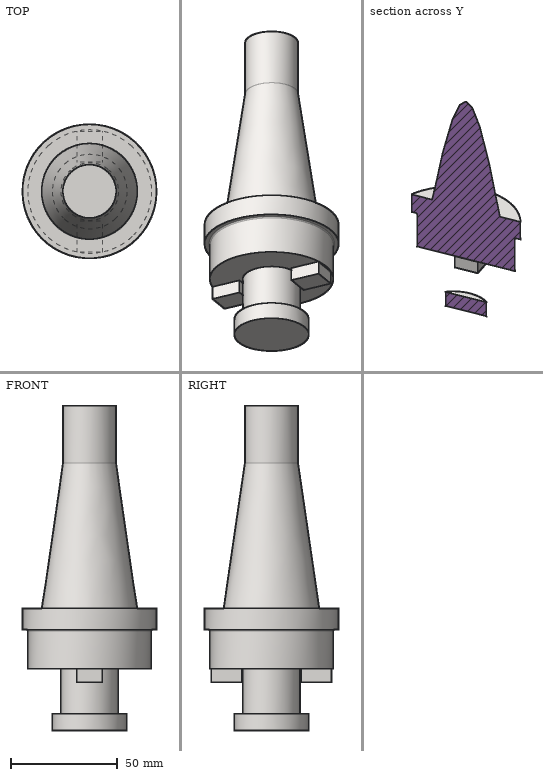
import cadquery as cq
import math

TAIL_DIAMETER = 25.0
TAPER_RATIO = 7 / 24
GAUGE_DIAMETER = 44.45
GAUGE_OFFSET = 1.6
SHANK_LENGTH = 95.0

FLANGE_DIAMETER = 63.0
FLANGE_THICKNESS = 10.0
COLLAR_DIAMETER = 58.0
COLLAR_LENGTH = 18.4
COLLAR_FILLET_RADIUS = 0.5

SPIGOT_DIAMETER = 27.0
SPIGOT_LENGTH = 21.0
SCREW_HEAD_DIAMETER = 35.0
SCREW_HEAD_THICKNESS = 8.0

KEY_WIDTH = 12.0
KEY_HEIGHT = 6.3
KEY_INNER_GAP = 27.7
KEY_OUTER_SPAN = 56.5

TAPER_BASE_DIAMETER = GAUGE_DIAMETER + TAPER_RATIO * GAUGE_OFFSET
TAPER_LENGTH = (TAPER_BASE_DIAMETER - TAIL_DIAMETER) / TAPER_RATIO

SPIGOT_BOTTOM = SCREW_HEAD_THICKNESS
COLLAR_BOTTOM = SPIGOT_BOTTOM + SPIGOT_LENGTH
FLANGE_BOTTOM = COLLAR_BOTTOM + COLLAR_LENGTH
FLANGE_TOP = FLANGE_BOTTOM + FLANGE_THICKNESS
TAIL_BOTTOM = FLANGE_TOP + TAPER_LENGTH
TAIL_TOP = FLANGE_TOP + SHANK_LENGTH


def make_body():
    """Revolve the half profile of the arbor about Z."""
    collar_radius = COLLAR_DIAMETER / 2
    fillet_bottom = FLANGE_BOTTOM - COLLAR_FILLET_RADIUS
    fillet_edge_radius = collar_radius + COLLAR_FILLET_RADIUS
    fillet_inset = COLLAR_FILLET_RADIUS * (1 - math.cos(math.radians(45)))
    fillet_middle = (collar_radius + fillet_inset, FLANGE_BOTTOM - fillet_inset)

    lower_profile = [
        (0, 0),
        (SCREW_HEAD_DIAMETER / 2, 0),
        (SCREW_HEAD_DIAMETER / 2, SPIGOT_BOTTOM),
        (SPIGOT_DIAMETER / 2, SPIGOT_BOTTOM),
        (SPIGOT_DIAMETER / 2, COLLAR_BOTTOM),
        (collar_radius, COLLAR_BOTTOM),
        (collar_radius, fillet_bottom),
    ]
    upper_profile = [
        (FLANGE_DIAMETER / 2, FLANGE_BOTTOM),
        (FLANGE_DIAMETER / 2, FLANGE_TOP),
        (TAPER_BASE_DIAMETER / 2, FLANGE_TOP),
        (TAIL_DIAMETER / 2, TAIL_BOTTOM),
        (TAIL_DIAMETER / 2, TAIL_TOP),
        (0, TAIL_TOP),
    ]
    half_profile = (
        cq.Workplane("YZ")
        .polyline(lower_profile)
        .threePointArc(fillet_middle, (fillet_edge_radius, FLANGE_BOTTOM))
        .polyline(upper_profile, includeCurrent=True)
        .close()
    )
    return half_profile.revolve(360, (0, 0, 0), (0, 1, 0))


def make_drive_key(side):
    """Block under the collar on the +Y (side = 1) or -Y (side = -1) side."""
    length = (KEY_OUTER_SPAN - KEY_INNER_GAP) / 2
    center_y = side * (KEY_OUTER_SPAN + KEY_INNER_GAP) / 4
    center_z = COLLAR_BOTTOM - KEY_HEIGHT / 2
    return cq.Workplane("XY").box(KEY_WIDTH, length, KEY_HEIGHT).translate((0, center_y, center_z))


result = make_body()
for side in (-1, 1):
    result = result.union(make_drive_key(side))